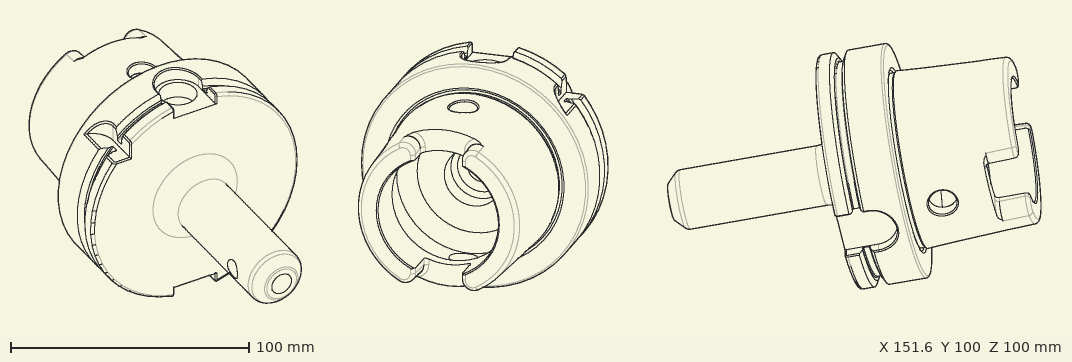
import cadquery as cq
import math

overall_length = 151.6
flange_start = 50.0
flange_end = 79.1

taper_base_radius = 37.9
taper_slope = 1 / 20
undercut_start = 48.2
undercut_radius = 37.3
undercut_end = 50.8
undercut_mouth_inner_radius = 38.5
undercut_mouth_outer_radius = 39.5

flange_radius = 50.0
flange_front_fillet = 0.9
flange_back_fillet = 1.2
groove_center = 69.9
groove_mouth_width = 6.4
groove_bottom_width = 3.3
groove_flank_end_radius = 47.5
groove_bottom_radius = 45.8
groove_bottom_fillet = 0.5

shank_radius = 25.5 / 2
shank_root_fillet = 7.7
shank_tip_chamfer = 5.0
shank_tip_outer_fillet = 2.6
shank_tip_end_fillet = 1.2
cross_hole_diameter = 8.3
cross_hole_x = 132.3

bore_radius = 53.0 / 2
bore_mouth_chamfer = 0.6
clamp_groove_start = 19.7
clamp_groove_radius = 63.0 / 2
clamp_groove_ramp = math.tan(math.radians(30)) * (clamp_groove_radius - bore_radius)
cavity_end = 48.5
cavity_floor_radius = 24.7
cavity_floor_taper = clamp_groove_radius - cavity_floor_radius
thread_radius = 25.5 / 2
thread_depth = 9.1
thread_end_radius = 21.0 / 2
thread_end_taper = thread_radius - thread_end_radius
coolant_radius = 9.5 / 2
coolant_mouth_radius = 12.0 / 2
coolant_mouth_depth = coolant_mouth_radius - coolant_radius

access_hole_diameter = 12.0
access_hole_x = 35.0
access_hole_chamfer = 0.6

drive_slot_half_width = 10.3
drive_arm_corner_fillet = 4.9
drive_arm_end_fillet = 1.8
drive_slot_floor_fillet = 1.7
upper_drive_slot_depth = 9.7
lower_drive_slot_depth = 14.5

keyway_width = 20.0
keyway_arc_x = 64.7
keyway_floor = 44.0
keyway_hole_diameter = 16.0
keyway_hole_depth = 7.6
notch_floor_z = 31.1
notch_wall_y = -31.4
rim_chamfer = 0.6

clearance = 7.6
tolerance = 0.02


def revolved(profile):
    """Turn an (X, radius) profile around the X axis."""
    return profile.close().revolve(360, (0, 0, 0), (1, 0, 0))


def ring_edges(body, x, radius):
    """Circular edges around the X axis with the given station and radius."""
    return body.edges("%CIRCLE").filter(
        lambda edge: abs(edge.Center().x - x) < tolerance and abs(edge.radius() - radius) < tolerance
    )


def taper_radius(x):
    """Outer radius of the taper at one station."""
    return taper_base_radius - taper_slope * (undercut_start - x)


def outer_body():
    """Taper, flange and shank as one turned solid."""
    undercut_step = taper_base_radius - undercut_radius
    body = revolved(
        cq.Workplane("XY")
        .moveTo(0, 0)
        .lineTo(0, taper_radius(0))
        .lineTo(undercut_start, taper_base_radius)
        .lineTo(undercut_start + undercut_step, undercut_radius)
        .lineTo(undercut_end, undercut_radius)
        .lineTo(undercut_end, undercut_mouth_inner_radius)
        .lineTo(flange_start, undercut_mouth_outer_radius)
        .lineTo(flange_start, flange_radius)
        .lineTo(flange_end, flange_radius)
        .lineTo(flange_end, shank_radius)
        .lineTo(overall_length - shank_tip_chamfer, shank_radius)
        .lineTo(overall_length, shank_radius - shank_tip_chamfer)
        .lineTo(overall_length, 0)
    )
    body = ring_edges(body, flange_start, flange_radius).fillet(flange_front_fillet)
    body = ring_edges(body, flange_end, flange_radius).fillet(flange_back_fillet)
    body = ring_edges(body, flange_end, shank_radius).fillet(shank_root_fillet)
    body = ring_edges(body, overall_length - shank_tip_chamfer, shank_radius).fillet(shank_tip_outer_fillet)
    return body.faces(">X").edges().fillet(shank_tip_end_fillet)


def gripper_groove():
    """Ring cutter with sloped flanks and a narrow rounded bottom."""
    half_mouth = groove_mouth_width / 2
    half_bottom = groove_bottom_width / 2
    groove = revolved(
        cq.Workplane("XY")
        .moveTo(groove_center - half_mouth, flange_radius + clearance)
        .lineTo(groove_center - half_mouth, flange_radius)
        .lineTo(groove_center - half_bottom, groove_flank_end_radius)
        .lineTo(groove_center - half_bottom, groove_bottom_radius)
        .lineTo(groove_center + half_bottom, groove_bottom_radius)
        .lineTo(groove_center + half_bottom, groove_flank_end_radius)
        .lineTo(groove_center + half_mouth, flange_radius)
        .lineTo(groove_center + half_mouth, flange_radius + clearance)
    )
    for side in (-1, 1):
        corner_x = groove_center + side * half_bottom
        groove = ring_edges(groove, corner_x, groove_bottom_radius).fillet(groove_bottom_fillet)
    return groove


def cavity():
    """Bore, clamping groove, threaded seat and coolant bore along the axis."""
    thread_end = cavity_end + thread_depth
    thread_floor = thread_end + thread_end_taper
    return revolved(
        cq.Workplane("XY")
        .moveTo(0, 0)
        .lineTo(0, bore_radius + bore_mouth_chamfer)
        .lineTo(bore_mouth_chamfer, bore_radius)
        .lineTo(clamp_groove_start, bore_radius)
        .lineTo(clamp_groove_start + clamp_groove_ramp, clamp_groove_radius)
        .lineTo(cavity_end - cavity_floor_taper, clamp_groove_radius)
        .lineTo(cavity_end, cavity_floor_radius)
        .lineTo(cavity_end, thread_radius)
        .lineTo(thread_end, thread_radius)
        .lineTo(thread_floor, thread_end_radius)
        .lineTo(thread_floor, coolant_mouth_radius)
        .lineTo(thread_floor + coolant_mouth_depth, coolant_radius)
        .lineTo(overall_length, coolant_radius)
        .lineTo(overall_length, 0)
    )


def taper_piece(start, end):
    """Plain stretch of the taper between two stations."""
    return revolved(
        cq.Workplane("XY")
        .moveTo(start, 0)
        .lineTo(start, taper_radius(start))
        .lineTo(end, taper_radius(end))
        .lineTo(end, 0)
    )


def half_space(start, end, side):
    """Block that covers the upper or lower half of the taper between two stations."""
    size = 4 * taper_base_radius
    return cq.Workplane("XY").box(end - start, size, size / 2).translate(
        ((start + end) / 2, 0, side * size / 4)
    )


def driving_arms():
    """The two rounded arms left standing between the drive slots at the taper mouth."""
    longest = max(upper_drive_slot_depth, lower_drive_slot_depth)
    slot = cq.Workplane("XY").box(3 * longest, 2 * drive_slot_half_width, 4 * taper_base_radius)
    arms = taper_piece(0, longest).cut(slot)
    long_corners = arms.edges().filter(
        lambda edge: abs(edge.startPoint().x - edge.endPoint().x) > tolerance
        and abs(edge.startPoint().z) > drive_slot_half_width
    )
    arms = long_corners.fillet(drive_arm_corner_fillet)
    return arms.faces("<X").edges().fillet(drive_arm_end_fillet)


def drive_slot_floor_blend(depth, side):
    """Concave blend that carries the arm flanks into the floor of one drive slot."""
    blend_start = depth - drive_slot_floor_fillet
    floor_radius = taper_radius(depth) + 2 * tolerance
    corner_y = drive_slot_half_width + drive_arm_corner_fillet
    corner_z = math.sqrt((floor_radius - drive_arm_corner_fillet) ** 2 - corner_y ** 2)
    fall_angle = math.asin(corner_y / (floor_radius - drive_arm_corner_fillet))

    def corner_arc_point(angle):
        return (
            corner_y + drive_arm_corner_fillet * math.sin(angle),
            corner_z + drive_arm_corner_fillet * math.cos(angle),
        )

    arc_middle = corner_arc_point((fall_angle - math.pi / 2) / 2)
    arc_end = corner_arc_point(fall_angle)
    tail = (
        arc_end[0] + clearance * math.cos(fall_angle),
        arc_end[1] - clearance * math.sin(fall_angle),
    )
    half_slot = (
        cq.Workplane("YZ", origin=(-clearance, 0, 0))
        .lineTo(drive_slot_half_width, 0)
        .lineTo(drive_slot_half_width, corner_z)
        .threePointArc(arc_middle, arc_end)
        .lineTo(*tail)
        .lineTo(tail[0], taper_base_radius + clearance)
        .lineTo(0, taper_base_radius + clearance)
        .close()
        .extrude(depth + clearance)
    )
    slot = half_slot.union(half_slot.mirror("XZ"))
    flank_feet = slot.faces(">X").edges().filter(
        lambda edge: edge.Center().z < arc_end[1] and drive_slot_half_width - tolerance < abs(edge.Center().y)
        and abs(edge.Center().y) < tail[0] - tolerance
    )
    slot = flank_feet.fillet(drive_slot_floor_fillet)
    if side < 0:
        slot = slot.mirror("XY")
    return taper_piece(blend_start, depth).intersect(half_space(blend_start, depth, side)).cut(slot)


def keyway_cutter(center_y, floor_z):
    """Round-ended slot that runs out of the back face of the flange."""
    run_out = flange_end + clearance - keyway_arc_x
    round_end = cq.Workplane("XY", origin=(0, 0, floor_z)).center(keyway_arc_x, center_y).circle(keyway_width / 2)
    straight = (
        cq.Workplane("XY", origin=(0, 0, floor_z))
        .center(keyway_arc_x + run_out / 2, center_y)
        .rect(run_out, keyway_width)
    )
    return round_end.extrude(flange_radius).union(straight.extrude(flange_radius))


def drill_access_hole(body):
    """Cross hole through the taper, chamfered where it meets the outer surface."""
    hole = (
        cq.Workplane("XY", origin=(access_hole_x, 0, 0))
        .circle(access_hole_diameter / 2)
        .extrude(flange_radius, both=True)
    )
    reach = access_hole_diameter
    rims = cq.selectors.BoxSelector(
        (access_hole_x - reach, -reach, -flange_radius),
        (access_hole_x + reach, reach, flange_radius),
        boundingbox=True,
    )
    return body.cut(hole).edges(rims).edges("not %LINE").chamfer(access_hole_chamfer)


def on_flange_rim(edge):
    """True for a cut edge that lies on the flange's outer surface."""
    points = [edge.positionAt(share) for share in (0, 0.5, 1)]
    on_surface = all(abs(math.hypot(point.y, point.z) - flange_radius) < tolerance for point in points)
    along_axis = abs(points[0].x - points[1].x) > tolerance
    seam = points[1].y > flange_radius - tolerance
    return on_surface and along_axis and not seam


body = outer_body()
for slot_depth, slot_side in ((upper_drive_slot_depth, 1), (lower_drive_slot_depth, -1)):
    body = body.cut(half_space(-clearance, slot_depth, slot_side))
    body = body.union(drive_slot_floor_blend(slot_depth, slot_side))
body = body.union(driving_arms())
body = drill_access_hole(body)

keyway = keyway_cutter(0, keyway_floor)
notch = keyway_cutter(notch_wall_y - keyway_width / 2, notch_floor_z)
body = body.cut(keyway).cut(keyway.mirror("XY")).cut(notch)
body = body.edges().filter(on_flange_rim).chamfer(rim_chamfer)
body = body.cut(gripper_groove())

keyway_hole = (
    cq.Workplane("XY", origin=(keyway_arc_x, 0, keyway_floor - keyway_hole_depth))
    .circle(keyway_hole_diameter / 2)
    .extrude(flange_radius)
)
cross_hole = (
    cq.Workplane("XZ", origin=(cross_hole_x, 0, 0))
    .circle(cross_hole_diameter / 2)
    .extrude(flange_radius)
)
result = body.cut(keyway_hole).cut(cross_hole).cut(cavity())